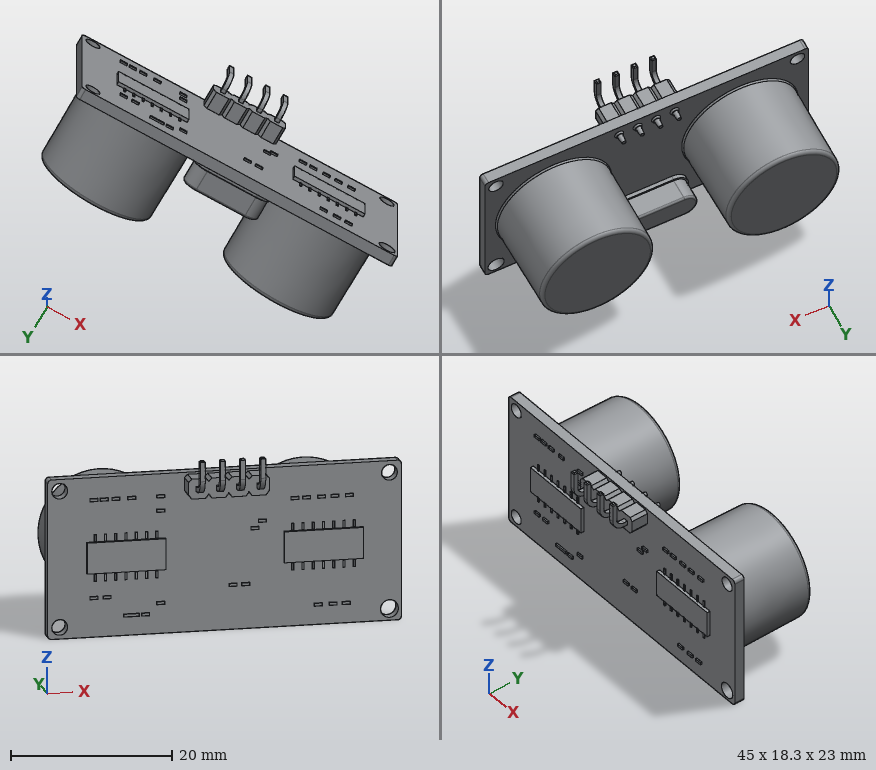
import cadquery as cq
import math


board_width = 45.0
board_height = 20.48
board_thickness = 1.5
board_corner_radius = 0.5
hole_x = 20.95
hole_z = 8.75
hole_diameter = 2.0
large_hole_diameter = 2.25

can_spacing = 25.9
can_foot_radius = 8.1
can_base_radius = 7.95
can_end_radius = 7.85
can_foot_height = 0.25
can_height = 12.05
can_rim_fillet = 0.5

crystal_z = -7.7
crystal_straight_length = 6.95
crystal_diameter = 3.6
crystal_flange_rim = 0.25
crystal_flange_height = 0.55
crystal_height = 3.55
crystal_rim_fillet = 0.25

pin_count = 4
pin_pitch = 2.55
pin_width = 0.65
pin_bend_radius = 1.5
pin_bend_offset = 0.5
pin_rise = 2.5
pin_tip_chamfer = 0.15
header_z = 8.7
header_height = 2.55
header_depth = 2.45
header_chamfer_x = 0.4
header_top_chamfer = 0.4
header_bottom_chamfer = 0.55

solder_foot_radius = 0.65
solder_foot_top_radius = 0.5
solder_foot_height = 0.25
solder_cone_radius = 0.4
solder_tip_radius = 0.25
solder_height = 1.35

chip_spacing = 25.1
chip_length = 10.05
chip_width = 3.95
chip_thickness = 0.45
lead_count = 7
lead_pitch = 1.3
lead_width = 0.25
lead_length = 0.9
lead_thickness = 0.15
lead_tip_top_z = 2.92
lead_tip_bottom_z = -3.05

smd_length = 1.0
long_smd_length = 2.0
smd_width = 0.35
smd_thickness = 0.22
smd_rows = (
    (7.4, (-16.65, -15.35, -13.85, -11.85, -8.15)),
    (5.55, (-8.15,)),
    (-5.18, (-16.65, -15.0)),
    (-6.3, (-8.15,)),
    (3.5, (4.75,)),
    (2.6, (3.82,)),
    (-4.5, (1.05, 2.65)),
    (6.15, (8.9, 10.4, 12.3, 14.0, 15.85)),
    (-7.65, (-10.1, 11.9, 13.75, 15.45)),
)
long_smd_x = -11.9
long_smd_z = -7.65


def centered_positions(count, pitch, center):
    """Return evenly spaced positions about a centre."""
    return [center + (i - (count - 1) / 2) * pitch for i in range(count)]


def plane_at(y):
    """Return a plane facing +Y whose local axes are +Z and +X."""
    return cq.Workplane(cq.Plane(origin=(0, y, 0), xDir=(0, 0, 1), normal=(0, 1, 0)))


def front_block(x, z, length, width, thickness):
    """Return a flat block standing on the front face of the board."""
    return cq.Workplane("XY").box(length, thickness, width).translate((x, -thickness / 2, z))


def revolved_on_back(profile, x, z):
    """Revolve (radius, height) points about an axis normal to the back face."""
    turned = cq.Workplane("XY").polyline(profile).close().revolve(360, (0, 0, 0), (0, 1, 0))
    return turned.translate((x, board_thickness, z))


def make_board():
    board = cq.Workplane("XY").box(board_width, board_thickness, board_height)
    board = board.translate((0, board_thickness / 2, 0)).edges("|Y").fillet(board_corner_radius)
    small_holes = [(hole_z, -hole_x), (-hole_z, -hole_x), (hole_z, hole_x)]
    drills = plane_at(0).pushPoints(small_holes).circle(hole_diameter / 2).extrude(board_thickness)
    large_drill = plane_at(0).center(-hole_z, hole_x).circle(large_hole_diameter / 2)
    return board.cut(drills).cut(large_drill.extrude(board_thickness))


def make_transducer(x):
    profile = [
        (0, 0),
        (can_foot_radius, 0),
        (can_base_radius, can_foot_height),
        (can_end_radius, can_height),
        (0, can_height),
    ]
    return revolved_on_back(profile, x, 0).faces(">Y").edges().fillet(can_rim_fillet)


def round_ended_block(diameter, height):
    """Return a block with half-round ends standing on the back face."""
    end_x = crystal_straight_length / 2
    radius = diameter / 2
    top = crystal_z + radius
    bottom = crystal_z - radius
    return (
        cq.Workplane("XZ", origin=(0, board_thickness, 0))
        .moveTo(-end_x, bottom)
        .lineTo(end_x, bottom)
        .threePointArc((end_x + radius, crystal_z), (end_x, top))
        .lineTo(-end_x, top)
        .threePointArc((-end_x - radius, crystal_z), (-end_x, bottom))
        .close()
        .extrude(-height)
    )


def make_crystal():
    flange = round_ended_block(crystal_diameter + 2 * crystal_flange_rim, crystal_flange_height)
    body = round_ended_block(crystal_diameter, crystal_height)
    return body.faces(">Y").edges().fillet(crystal_rim_fillet).union(flange)


def make_header_block():
    """Return the header housing: one chamfered cell per pin, side by side."""
    half_pitch = pin_pitch / 2
    flat = half_pitch - header_chamfer_x
    top = header_z + header_height / 2
    bottom = header_z - header_height / 2
    cell_outline = [
        (-half_pitch, bottom + header_bottom_chamfer),
        (-flat, bottom),
        (flat, bottom),
        (half_pitch, bottom + header_bottom_chamfer),
        (half_pitch, top - header_top_chamfer),
        (flat, top),
        (-flat, top),
        (-half_pitch, top - header_top_chamfer),
    ]
    cell = cq.Workplane("XZ").polyline(cell_outline).close().extrude(header_depth)
    block = cq.Workplane("XY")
    for x in pin_positions:
        block = block.union(cell.translate((x, 0, 0)))
    return block


def make_pin(x):
    """Return a square pin leaving the housing forwards and bending upwards."""
    bend_y = -header_depth - pin_bend_offset
    upright_y = bend_y - pin_bend_radius
    bend_z = header_z + pin_bend_radius
    middle = pin_bend_radius * math.sqrt(0.5)
    path = (
        cq.Workplane("YZ", origin=(x, 0, 0))
        .moveTo(-header_depth, header_z)
        .lineTo(bend_y, header_z)
        .threePointArc((bend_y - middle, bend_z - middle), (upright_y, bend_z))
        .lineTo(upright_y, board_height / 2 + pin_rise)
    )
    section = cq.Workplane("XZ", origin=(x, -header_depth, header_z)).rect(pin_width, pin_width)
    return section.sweep(path).faces(">Z").chamfer(pin_tip_chamfer)


def make_solder_joint(x):
    profile = [
        (0, 0),
        (solder_foot_radius, 0),
        (solder_foot_top_radius, solder_foot_height),
        (solder_cone_radius, solder_foot_height),
        (solder_tip_radius, solder_height),
        (0, solder_height),
    ]
    return revolved_on_back(profile, x, header_z)


def make_chip(x):
    chip = front_block(x, 0, chip_length, chip_width, chip_thickness)
    lead_rows = (lead_tip_top_z - lead_length / 2, lead_tip_bottom_z + lead_length / 2)
    parts = [chip]
    for lead_x in centered_positions(lead_count, lead_pitch, x):
        for lead_z in lead_rows:
            parts.append(front_block(lead_x, lead_z, lead_width, lead_length, lead_thickness))
    return parts


def make_small_parts():
    parts = [front_block(long_smd_x, long_smd_z, long_smd_length, smd_width, smd_thickness)]
    for z, centers_x in smd_rows:
        for x in centers_x:
            parts.append(front_block(x, z, smd_length, smd_width, smd_thickness))
    return parts


pin_positions = centered_positions(pin_count, pin_pitch, 0)

components = [make_crystal(), make_header_block()]
components += make_small_parts()
for can_x in (-can_spacing / 2, can_spacing / 2):
    components.append(make_transducer(can_x))
for pin_x in pin_positions:
    components.append(make_pin(pin_x))
    components.append(make_solder_joint(pin_x))
for chip_x in (-chip_spacing / 2, chip_spacing / 2):
    components += make_chip(chip_x)

result = make_board()
for component in components:
    result = result.union(component)